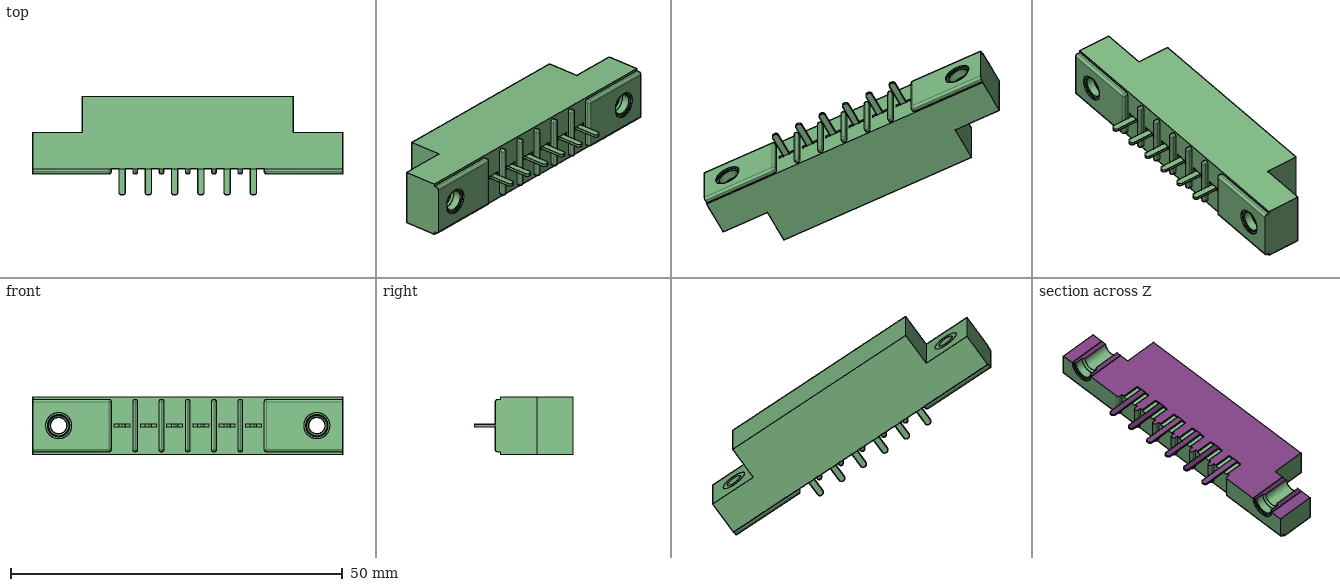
import cadquery as cq

LENGTH = 46.8
HEIGHT = 8.7
FLANGE_DEPTH = 5.5
BLOCK_LENGTH = 31.8
BLOCK_DEPTH = 5.45

RAISE = 0.8
RAISED_HEIGHT = 7.95
PAD_LENGTH = 11.9
PAD_EDGE_RADIUS = 0.4
RIDGE_WIDTH = 0.75
RIDGE_EDGE_RADIUS = 0.37

CONTACT_COUNT = 6
CONTACT_SPAN = 19.8
PITCH = CONTACT_SPAN / (CONTACT_COUNT - 1)
CONTACT_THICKNESS = 0.4
CONTACT_WIDTH = 1.0
CONTACT_PROJECTION = 3.95
TIP_RADIUS = 0.4
SLOT_WIDTH = 2.45
SLOT_DEPTH = 2.8

INSERT_SPACING = 38.95
INSERT_RADIUS = 1.95
INSERT_RECESS = 0.25
BORE_RADIUS = 1.2
WIDE_BORE_RADIUS = 1.55
WIDE_BORE_DEPTH = 1.4
MOUTH_CHAMFER = 0.15

CONTACT_XS = [i * PITCH - CONTACT_SPAN / 2 for i in range(CONTACT_COUNT)]
RIDGE_XS = [x + PITCH / 2 for x in CONTACT_XS[:-1]]
INSERT_XS = [-INSERT_SPACING / 2, INSERT_SPACING / 2]


def box(x_size, y_start, y_end, z_size):
    """Box centred on X and Z that runs from y_start to y_end."""
    return cq.Workplane("XY").box(x_size, y_end - y_start, z_size).translate((0, (y_start + y_end) / 2, 0))


def make_ridge():
    """Upright ridge with rounded ends and rounded front edges."""
    ridge = box(RIDGE_WIDTH, -RAISE, 0, RAISED_HEIGHT)
    return ridge.edges("|Y").fillet(RIDGE_EDGE_RADIUS).faces("<Y").edges().fillet(RIDGE_EDGE_RADIUS)


def make_left_pad():
    """Raised pad at the left end, rounded except along the outer end face."""
    pad = box(PAD_LENGTH, -RAISE, 0, RAISED_HEIGHT)
    pad = pad.edges("|Y and >X").fillet(PAD_EDGE_RADIUS)
    pad = pad.faces("<Y").edges("not <X").fillet(PAD_EDGE_RADIUS)
    return pad.translate(((PAD_LENGTH - LENGTH) / 2, 0, 0))


def make_contact(x):
    """Flat contact with rounded tip corners, pointing to -Y."""
    contact = box(CONTACT_WIDTH, -CONTACT_PROJECTION, SLOT_DEPTH, CONTACT_THICKNESS)
    return contact.faces("<Y").edges("|Z").fillet(TIP_RADIUS).translate((x, 0, 0))


def make_insert(x):
    """Bushing turned about Y: a wide chamfered bore that tapers to a narrow through bore."""
    front = INSERT_RECESS - RAISE
    taper_start = front + WIDE_BORE_DEPTH
    taper_end = taper_start + WIDE_BORE_RADIUS - BORE_RADIUS
    profile = [
        (INSERT_RADIUS, front),
        (WIDE_BORE_RADIUS + MOUTH_CHAMFER, front),
        (WIDE_BORE_RADIUS, front + MOUTH_CHAMFER),
        (WIDE_BORE_RADIUS, taper_start),
        (BORE_RADIUS, taper_end),
        (BORE_RADIUS, FLANGE_DEPTH),
        (INSERT_RADIUS, FLANGE_DEPTH),
    ]
    bushing = cq.Workplane("XY").polyline(profile).close().revolve(360, (0, 0), (0, 1))
    return bushing.translate((x, 0, 0))


def make_insert_hole(x):
    """Cylinder through the pad and flange that receives an insert."""
    return cq.Workplane("XZ", origin=(x, -RAISE, 0)).circle(INSERT_RADIUS).extrude(-(RAISE + FLANGE_DEPTH))


def make_housing():
    """Stepped block with pads and ridges, contact slots and insert holes."""
    housing = box(LENGTH, 0, FLANGE_DEPTH, HEIGHT)
    housing = housing.union(box(BLOCK_LENGTH, FLANGE_DEPTH, FLANGE_DEPTH + BLOCK_DEPTH, HEIGHT))
    left_pad = make_left_pad()
    housing = housing.union(left_pad).union(left_pad.mirror("YZ"))
    ridge = make_ridge()
    for x in RIDGE_XS:
        housing = housing.union(ridge.translate((x, 0, 0)))
    slot = box(SLOT_WIDTH, 0, SLOT_DEPTH, CONTACT_THICKNESS)
    for x in CONTACT_XS:
        housing = housing.cut(slot.translate((x, 0, 0)))
    for x in INSERT_XS:
        housing = housing.cut(make_insert_hole(x))
    return housing


contacts = [make_contact(x) for x in CONTACT_XS]
inserts = [make_insert(x) for x in INSERT_XS]
housing = make_housing()

result = cq.Compound.makeCompound(
    [housing.val()] + [contact.val() for contact in contacts] + [insert.val() for insert in inserts]
)